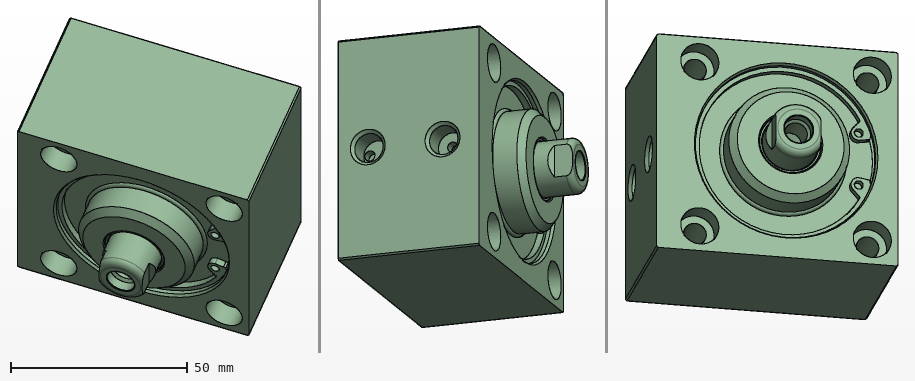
import cadquery as cq
import math


BLOCK_WIDTH = 70
BLOCK_HEIGHT = 65.0
BLOCK_DEPTH = 42.5
BLOCK_EDGE_CHAMFER = 0.5
BORE_OFFSET = 2.5
BLOCK_LEFT_X = -BLOCK_WIDTH / 2 - BORE_OFFSET

SCREW_SPACING = 50.0
SCREW_DIAMETER = 6.5
SCREW_HEAD_DIAMETER = 11.0
SCREW_HEAD_DEPTH = 6.5

PORT_DIAMETER = 8.55
PORT_MOUTH_DIAMETER = 10.5
PORT_DEPTH = 8.4
PORT_POSITIONS = (11.0, 33.5)
FEED_DIAMETER = 3.0
FEED_POSITIONS = (11.0, 36.0)
FEED_LENGTH = 3.5

RING_INNER_DIAMETER = 49.55
RING_THICKNESS = 2.0
EAR_X = 21.5
EAR_Z = 7.9
EAR_RADIUS = 2.25
EAR_HOLE_DIAMETER = 2.5
EAR_ROOT = (22.0, 11.8)
RING_END_INNER = (24.7, 6.2)
RING_END_OUTER = (25.4, 9.45)

RECESS_DIAMETER = 52.2
RECESS_MOUTH_DIAMETER = 53.2
RECESS_MOUTH_DEPTH = 0.85
RECESS_DEPTH = 4.05
FLOOR_DIAMETER = 51.8
GROOVE_DIAMETER = 55.0
GROOVE_CLEARANCE = 0.15
GROOVE_Y = RECESS_DEPTH - RING_THICKNESS

BOSS_DIAMETER = 35
BOSS_PROJECTION = 6.15
BOSS_LENGTH = RECESS_DEPTH + BOSS_PROJECTION
BOSS_CHAMFER = 2.0
BOSS_ROOT_FILLET = 0.9
BOSS_FACE_Y = -BOSS_PROJECTION

ROD_DIAMETER = 16.0
ROD_PROJECTION = 10.85
ROD_SEAT_DEPTH = 28
ROD_TIP_FILLET = 1.95
ROD_TIP_Y = BOSS_FACE_Y - ROD_PROJECTION
FLAT_WIDTH = 13.0
FLAT_LENGTH = 5.5

THREAD_DIAMETER = 6.65
THREAD_DEPTH = 11.9
DRILL_POINT_ANGLE = 118
COUNTERBORE_DIAMETER = 8.25
COUNTERBORE_MOUTH_DIAMETER = 8.7
COUNTERBORE_DEPTH = 3.0

WIPER_MOUTH_DIAMETER = 18.6
WIPER_DIAMETER = 18.0
WIPER_DEPTH = 1.0
LIP_OUTER_DIAMETER = 17.7
LIP_INNER_DIAMETER = 16.5
LIP_HEIGHT = 0.5


def disc(diameter, front_y, length):
    """Cylinder on the bore axis that starts at front_y and runs towards +Y."""
    return cq.Workplane("XZ", origin=(0, front_y, 0)).circle(diameter / 2).extrude(-length)


def tube(outer_diameter, inner_diameter, front_y, length):
    """Hollow cylinder on the bore axis that starts at front_y and runs towards +Y."""
    return disc(outer_diameter, front_y, length).cut(disc(inner_diameter, front_y, length))


def revolved(points):
    """Solid of revolution about the bore axis from (radius, y) points."""
    return cq.Workplane("XY").polyline(points).close().revolve(360, (0, 0, 0), (0, 1, 0))


def cone(front_diameter, back_diameter, front_y, length=None):
    """Cone on the bore axis that narrows towards +Y, at 45 degrees unless a length is given."""
    if length is None:
        length = (front_diameter - back_diameter) / 2
    back_y = front_y + length
    return revolved([(0, front_y), (front_diameter / 2, front_y), (back_diameter / 2, back_y), (0, back_y)])




def make_block():
    block = cq.Workplane("XY").box(BLOCK_WIDTH, BLOCK_DEPTH, BLOCK_HEIGHT)
    block = block.edges("|Y").chamfer(BLOCK_EDGE_CHAMFER)
    return block.translate((-BORE_OFFSET, BLOCK_DEPTH / 2, 0))


def cut_recess(block):
    recess = disc(RECESS_DIAMETER, 0, RECESS_DEPTH)
    mouth = cone(RECESS_MOUTH_DIAMETER, RECESS_DIAMETER, 0, RECESS_MOUTH_DEPTH)
    groove = tube(GROOVE_DIAMETER, FLOOR_DIAMETER, GROOVE_Y, RING_THICKNESS + GROOVE_CLEARANCE)
    return block.cut(recess).cut(mouth).cut(groove)


def add_boss(block):
    boss = disc(BOSS_DIAMETER, BOSS_FACE_Y, BOSS_LENGTH).faces("<Y").chamfer(BOSS_CHAMFER)
    boss_radius = BOSS_DIAMETER / 2
    root = (
        cq.Workplane("XY")
        .moveTo(boss_radius, RECESS_DEPTH - BOSS_ROOT_FILLET)
        .radiusArc((boss_radius + BOSS_ROOT_FILLET, RECESS_DEPTH), -BOSS_ROOT_FILLET)
        .lineTo(boss_radius, RECESS_DEPTH)
        .close()
        .revolve(360, (0, 0, 0), (0, 1, 0))
    )
    return block.union(boss.union(root))


def cut_rod_bore(block):
    bore = disc(ROD_DIAMETER, BOSS_FACE_Y, ROD_SEAT_DEPTH)
    lip_y = BOSS_FACE_Y + WIPER_DEPTH - LIP_HEIGHT
    lip = tube(LIP_OUTER_DIAMETER, LIP_INNER_DIAMETER, lip_y, LIP_HEIGHT)
    wiper_groove = disc(WIPER_DIAMETER, BOSS_FACE_Y, WIPER_DEPTH).cut(lip)
    mouth = cone(WIPER_MOUTH_DIAMETER, WIPER_DIAMETER, BOSS_FACE_Y)
    return block.cut(bore).cut(wiper_groove).cut(mouth)


def cut_screw_holes(block):
    through_hole = disc(SCREW_DIAMETER, 0, BLOCK_DEPTH)
    screw_hole = through_hole.union(disc(SCREW_HEAD_DIAMETER, 0, SCREW_HEAD_DEPTH))
    for x in (-SCREW_SPACING / 2, SCREW_SPACING / 2):
        for z in (-SCREW_SPACING / 2, SCREW_SPACING / 2):
            block = block.cut(screw_hole.translate((x, 0, z)))
    return block


def cut_ports(block):
    mouth_length = (PORT_MOUTH_DIAMETER - PORT_DIAMETER) / 2
    for port_y, feed_y in zip(PORT_POSITIONS, FEED_POSITIONS):
        port_face = cq.Workplane("YZ", origin=(BLOCK_LEFT_X, port_y, 0))
        port = port_face.circle(PORT_DIAMETER / 2).extrude(PORT_DEPTH)
        mouth = (
            port_face.circle(PORT_MOUTH_DIAMETER / 2)
            .workplane(offset=mouth_length)
            .circle(PORT_DIAMETER / 2)
            .loft()
        )
        feed_face = cq.Workplane("YZ", origin=(BLOCK_LEFT_X + PORT_DEPTH, feed_y, 0))
        feed = feed_face.circle(FEED_DIAMETER / 2).extrude(FEED_LENGTH)
        block = block.cut(port).cut(mouth).cut(feed)
    return block


def make_housing():
    block = make_block()
    block = cut_recess(block)
    block = add_boss(block)
    block = cut_rod_bore(block)
    block = cut_screw_holes(block)
    return cut_ports(block)




def cut_flats(rod):
    """Two wrench flats at the tip, each ending in a 45 degree shoulder."""
    flat_x = FLAT_WIDTH / 2
    rod_radius = ROD_DIAMETER / 2
    flat_end_y = ROD_TIP_Y + FLAT_LENGTH
    shoulder_y = flat_end_y + rod_radius - flat_x
    for side in (-1, 1):
        cutter = (
            cq.Workplane("XY")
            .moveTo(side * flat_x, ROD_TIP_Y)
            .lineTo(side * flat_x, flat_end_y)
            .lineTo(side * rod_radius, shoulder_y)
            .lineTo(side * rod_radius, ROD_TIP_Y)
            .close()
            .extrude(rod_radius, both=True)
        )
        rod = rod.cut(cutter)
    return rod


def cut_tip_hole(rod):
    """Stepped blind hole with a drill point."""
    thread_radius = THREAD_DIAMETER / 2
    thread_end_y = ROD_TIP_Y + THREAD_DEPTH
    point_length = thread_radius / math.tan(math.radians(DRILL_POINT_ANGLE / 2))
    point_end_y = thread_end_y + point_length
    drill_point = revolved([(0, thread_end_y), (thread_radius, thread_end_y), (0, point_end_y)])
    rod = rod.cut(disc(THREAD_DIAMETER, ROD_TIP_Y, THREAD_DEPTH)).cut(drill_point)
    rod = rod.cut(disc(COUNTERBORE_DIAMETER, ROD_TIP_Y, COUNTERBORE_DEPTH))
    rod = rod.cut(cone(COUNTERBORE_DIAMETER, THREAD_DIAMETER, ROD_TIP_Y + COUNTERBORE_DEPTH))
    return rod.cut(cone(COUNTERBORE_MOUTH_DIAMETER, COUNTERBORE_DIAMETER, ROD_TIP_Y))


def make_rod():
    rod = disc(ROD_DIAMETER, ROD_TIP_Y, ROD_PROJECTION + ROD_SEAT_DEPTH)
    rod = rod.faces("<Y").edges().fillet(ROD_TIP_FILLET)
    return cut_tip_hole(cut_flats(rod))




def make_ring_gap():
    """Cutter that opens the ring towards +X, between its two ends."""
    upper_side = [RING_END_INNER, RING_END_OUTER, (GROOVE_DIAMETER, RING_END_OUTER[1])]
    lower_side = [(x, -z) for x, z in reversed(upper_side)]
    ring_front = cq.Workplane("XZ", origin=(0, GROOVE_Y, 0))
    return ring_front.polyline([(0, 0)] + upper_side + lower_side).close().extrude(-RING_THICKNESS)


def make_ear(side):
    """Rounded ear at the upper (side = 1) or lower (side = -1) end of the ring."""
    tangent_offset = EAR_RADIUS * math.sqrt(0.5)
    return (
        cq.Workplane("XZ", origin=(0, GROOVE_Y, 0))
        .moveTo(EAR_ROOT[0], side * EAR_ROOT[1])
        .lineTo(EAR_X - tangent_offset, side * (EAR_Z + tangent_offset))
        .threePointArc((EAR_X - EAR_RADIUS, side * EAR_Z), (EAR_X, side * (EAR_Z - EAR_RADIUS)))
        .lineTo(RING_END_INNER[0], side * RING_END_INNER[1])
        .lineTo(RING_END_OUTER[0], side * RING_END_OUTER[1])
        .close()
        .extrude(-RING_THICKNESS)
    )


def make_retaining_ring():
    ring = tube(GROOVE_DIAMETER, RING_INNER_DIAMETER, GROOVE_Y, RING_THICKNESS).cut(make_ring_gap())
    ear_hole = disc(EAR_HOLE_DIAMETER, GROOVE_Y, RING_THICKNESS)
    for side in (-1, 1):
        ring = ring.union(make_ear(side)).cut(ear_hole.translate((EAR_X, 0, side * EAR_Z)))
    return ring


housing = make_housing()
rod = make_rod()
retaining_ring = make_retaining_ring()
bodies = [body.solids().val() for body in (housing, rod, retaining_ring)]
result = cq.Compound.makeCompound(bodies)